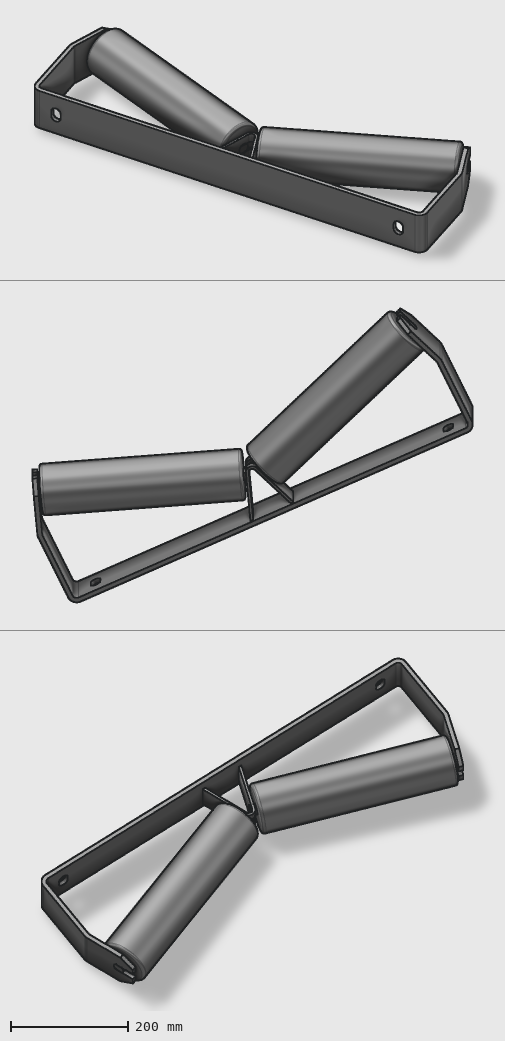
import cadquery as cq
import math


frame_length = 760.0
strip_width = 80.0
strip_thickness = 8.0
bend_radius = 7.5
arm_bend_height = 140.0
lean_angle = 20.0
arm_length = 98.0
tip_chamfer_along = 26.0
tip_chamfer_across = 17.5

mount_slot_length = 27.0
mount_slot_width = 18.0
mount_slot_inset = 48.0

bracket_thickness = 5.0
bracket_apex_height = 98.0
bracket_apex_radius = 11.5
bracket_width = 50.0

roller_diameter = 89.0
roller_length = 346.5
roller_fillet = 5.0
roller_gap = 4.2
shaft_diameter = 20.0
shaft_flat_width = 16.0
shaft_to_tip = 30.0
roller_tilt = 1.15

lean = math.radians(lean_angle)
sin_lean = math.sin(lean)
cos_lean = math.cos(lean)
half_length = frame_length / 2


def arm_point(along, depth):
    """Point on the -X arm: distance from the bend along its outer face, and depth into the strip."""
    x = -half_length + along * sin_lean + depth * cos_lean
    y = arm_bend_height + along * cos_lean - depth * sin_lean
    return (x, y)


bend_setback = strip_thickness * math.tan(lean / 2)

apex_centre_height = bracket_apex_height - bracket_apex_radius
bracket_inner_radius = bracket_apex_radius - bracket_thickness


def leg_half_width(radius, height):
    """Half-width of the bracket face that is tangent to the apex arc of this radius."""
    return radius / cos_lean + (apex_centre_height - height) * math.tan(lean)


axis_start_x, axis_start_y = arm_point(arm_length - shaft_to_tip, 0)
shaft_length = (
    (-leg_half_width(bracket_inner_radius, axis_start_y) - axis_start_x) * cos_lean
)
bracket_centre_z = -shaft_length * math.sin(math.radians(roller_tilt))
cut_reach = 2 * roller_diameter


def along_roller_axis(body):
    """Move a body built along +X from the origin onto the -X roller axis."""
    return (
        body.rotate((0, 0, 0), (0, 1, 0), roller_tilt)
        .rotate((0, 0, 0), (0, 0, 1), -lean_angle)
        .translate((axis_start_x, axis_start_y, 0))
    )


def on_side(body, side):
    """Keep a body on the -X side, or mirror it to the +X side."""
    return body if side < 0 else body.mirror("YZ")


def shaft_bar(start, length):
    """Round bar with two flats, along +X."""
    round_bar = cq.Workplane("YZ", origin=(start, 0, 0)).circle(shaft_diameter / 2).extrude(length)
    flats = cq.Workplane("XY").box(cut_reach + 2 * length, shaft_diameter, shaft_flat_width)
    return round_bar.intersect(flats)


def shaft_slot(start, length):
    """Open-ended slot for the shaft: its section swept out towards +Y."""
    opening = cq.Workplane("XY", origin=(start, 0, 0)).box(
        length, cut_reach, shaft_flat_width, centered=(False, False, True)
    )
    return along_roller_axis(shaft_bar(start, length).union(opening))


def bend_fillet(body, corner, radius):
    """Round the vertical edge at one corner of a bent strip."""
    selector = cq.selectors.NearestToPointSelector((corner[0], corner[1], 0))
    return body.edges("|Z").edges(selector).fillet(radius)


def make_frame():
    """Bent strip with bevelled arm tips, shaft slots and mounting slots."""
    inner_half = half_length - strip_thickness
    outer_corner = (-half_length, 0)
    inner_corner = (-inner_half, strip_thickness)
    outer_bend = (-half_length, arm_bend_height)
    inner_bend = (-inner_half, arm_bend_height - bend_setback)
    left_side = [
        outer_corner,
        outer_bend,
        arm_point(arm_length, 0),
        arm_point(arm_length, strip_thickness),
        inner_bend,
        inner_corner,
    ]
    right_side = [(-x, y) for x, y in reversed(left_side)]
    body = (
        cq.Workplane("XY").polyline(left_side + right_side).close()
        .extrude(strip_width / 2, both=True)
    )
    outer_radius = bend_radius + strip_thickness
    bends = (
        (outer_corner, outer_radius),
        (outer_bend, outer_radius),
        (inner_bend, bend_radius),
        (inner_corner, bend_radius),
    )
    for (x, y), radius in bends:
        for side in (-1, 1):
            body = bend_fillet(body, (-side * x, y), radius)

    for side in (-1, 1):
        for corner in tip_corners():
            body = body.cut(on_side(corner, side))
        body = body.cut(on_side(shaft_slot(-strip_thickness, 3 * strip_thickness), side))

    slot_x = half_length - mount_slot_inset
    mount_slots = (
        cq.Workplane("XZ").pushPoints([(-slot_x, 0), (slot_x, 0)])
        .slot2D(mount_slot_length, mount_slot_width, 90).extrude(-strip_thickness)
    )
    return body.cut(mount_slots)


def tip_corners():
    """Triangular prisms that bevel the two corners of the -X arm tip."""
    tip_x, tip_y = arm_point(arm_length, 0)
    corners = []
    for end in (-1, 1):
        edge = end * strip_width / 2
        corner = (
            cq.Workplane("YZ")
            .polyline([(0, edge), (-tip_chamfer_along, edge), (0, edge - end * tip_chamfer_across)])
            .close().extrude(strip_thickness)
            .rotate((0, 0, 0), (0, 0, 1), -lean_angle)
            .translate((tip_x, tip_y, 0))
        )
        corners.append(corner)
    return corners


def make_bracket():
    """Inverted V with a round apex, slotted for the inner shaft ends."""
    def tangent_point(radius):
        return (radius * cos_lean, apex_centre_height + radius * sin_lean)

    foot_height = strip_thickness
    outer_foot = leg_half_width(bracket_apex_radius, foot_height)
    inner_foot = leg_half_width(bracket_inner_radius, foot_height)
    outer_x, outer_y = tangent_point(bracket_apex_radius)
    inner_x, inner_y = tangent_point(bracket_inner_radius)
    body = (
        cq.Workplane("XY")
        .moveTo(-outer_foot, foot_height)
        .lineTo(-outer_x, outer_y)
        .threePointArc((0, bracket_apex_height), (outer_x, outer_y))
        .lineTo(outer_foot, foot_height)
        .lineTo(inner_foot, foot_height)
        .lineTo(inner_x, inner_y)
        .threePointArc((0, bracket_apex_height - bracket_thickness), (-inner_x, inner_y))
        .lineTo(-inner_foot, foot_height)
        .close()
        .extrude(bracket_width / 2, both=True)
        .translate((0, 0, bracket_centre_z))
    )
    slot_start = shaft_length - 2 * bracket_thickness
    for side in (-1, 1):
        body = body.cut(on_side(shaft_slot(slot_start, 4 * bracket_thickness), side))
    return body


def make_roller(side):
    """Drum with rounded rims and its flatted shaft, as one body."""
    drum_start = strip_thickness + roller_gap
    drum = (
        cq.Workplane("YZ", origin=(drum_start, 0, 0))
        .circle(roller_diameter / 2).extrude(roller_length)
        .edges().fillet(roller_fillet)
    )
    return on_side(along_roller_axis(drum.union(shaft_bar(0, shaft_length))), side)


frame = make_frame()
bracket = make_bracket()
rollers = [make_roller(side) for side in (-1, 1)]

result = cq.Compound.makeCompound([frame.val(), bracket.val(), *[roller.val() for roller in rollers]])